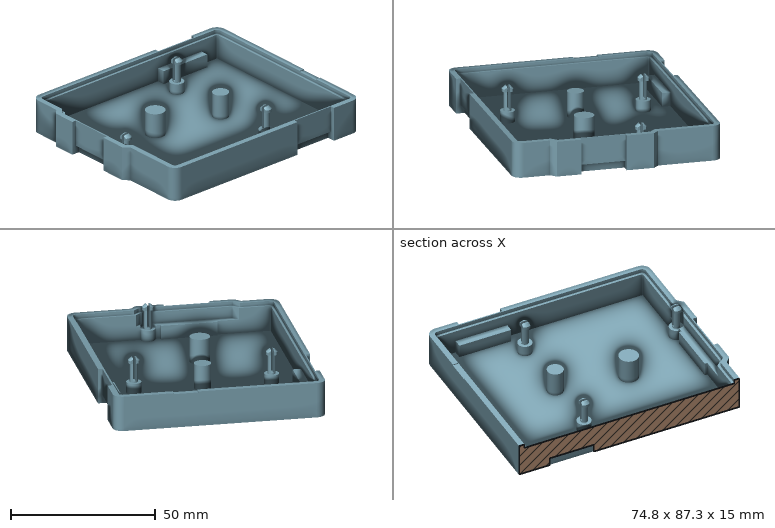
import cadquery as cq
import math

width = 74.8
total_depth = 87.3
tray_height = 12.7
total_height = 15.0
corner_radius = 3.4
floor_thickness = 2.0
rim_width = 2.0
shelf_width = 1.0
shelf_drop = 1.5
wall_thickness = rim_width + shelf_width

bay_projection = 2.0
bay_angle = 45
bay_left = -24.5
bay_right = 14.4

notch_depth = 1.6
undercut_depth = 3.05
undercut_height = 3.0
side_notch_length = 16.7
side_notch_start = 58.6
front_notch_length = 16.3
front_notch_start = -13.8

rib_length = 20.0
rib_thickness = 3.0
rib_top = 7.0
side_rib_start = 57.3
front_rib_start = -15.5

dip_start = 7.9
dip_length = 8.6
dip_depth = 0.35

support_posts = [(0, 56.0, 3.0), (-4.4, 29.8, 3.6)]
support_top = tray_height - shelf_drop

snap_pins = [(-24.2, 56.9), (24.2, 55.6), (8.9, 4.8)]
boss_radius = 2.6
boss_top = 6.0
pin_radius = 1.4
head_radius = 2.0
head_bottom = 13.0
head_chamfer = 1.0
slot_width = 1.0
slot_base = 0.4
slot_bottom = boss_top + slot_base


def box(x, y, z, length, depth, height):
    """Box given by its lowest corner and its sizes."""
    return cq.Workplane("XY").box(length, depth, height, centered=False).translate((x, y, z))


def cylinder(x, y, radius, bottom, top):
    return cq.Workplane("XY", origin=(x, y, bottom)).circle(radius).extrude(top - bottom)


def tray_prism(inset, bottom, top):
    """Prism of the tray outline with every side moved inwards by inset."""
    half_width = width / 2 - inset
    rear = total_depth - inset
    wall_front = bay_projection + inset
    bay_front = inset
    bay_shift = inset * math.tan(math.radians(bay_angle / 2))
    bay_slope = bay_projection / math.tan(math.radians(bay_angle))
    left = bay_left + bay_shift
    right = bay_right - bay_shift
    corners = [(-half_width, rear), (-half_width, wall_front), (half_width, wall_front), (half_width, rear)]
    outline = [
        corners[0],
        corners[1],
        (left, wall_front),
        (left + bay_slope, bay_front),
        (right - bay_slope, bay_front),
        (right, wall_front),
        corners[2],
        corners[3],
    ]
    prism = cq.Workplane("XY").workplane(offset=bottom).polyline(outline).close().extrude(top - bottom)
    middle = (bottom + top) / 2
    for x, y in corners:
        edge = cq.selectors.NearestToPointSelector((x, y, middle))
        prism = prism.edges("|Z").edges(edge).fillet(corner_radius - inset)
    return prism


def make_ribs():
    """Side ribs, front rib and the raised floor filling the bay, all level on top."""
    height = rib_top - floor_thickness
    inner_side = width / 2 - wall_thickness
    inner_front = bay_projection + wall_thickness
    left = box(-inner_side, side_rib_start, floor_thickness, rib_thickness, rib_length, height)
    right = left.mirror("YZ")
    front = box(front_rib_start, wall_thickness, floor_thickness, rib_length, rib_thickness, height)
    bay_zone = box(bay_left, 0, floor_thickness, bay_right - bay_left, inner_front, height)
    bay_floor = tray_prism(wall_thickness, floor_thickness, rib_top).intersect(bay_zone)
    return left.union(right).union(front).union(bay_floor)


def make_latch_notches():
    cuts = []
    for depth, height in [(notch_depth, tray_height), (undercut_depth, undercut_height)]:
        side = box(-width / 2, side_notch_start, 0, depth, side_notch_length, height)
        front = box(front_notch_start, 0, 0, front_notch_length, depth, height)
        cuts += [side, side.mirror("YZ"), front]
    return cuts


def make_snap_pin(x, y):
    """Round shaft with a chamfered head, flattened front and rear and split almost down to its boss."""
    shaft = cylinder(x, y, pin_radius, boss_top, total_height - head_chamfer)
    head = cylinder(x, y, head_radius, head_bottom, total_height).faces(">Z").chamfer(head_chamfer)
    pin_height = total_height - boss_top
    flats = box(x - head_radius, y - pin_radius, boss_top, 2 * head_radius, 2 * pin_radius, pin_height)
    slot = box(x - slot_width / 2, y - head_radius, slot_bottom, slot_width, 2 * head_radius, pin_height)
    return shaft.union(head).intersect(flats).cut(slot)


tray = tray_prism(0, 0, tray_height)
tray = tray.cut(tray_prism(wall_thickness, floor_thickness, tray_height))
tray = tray.cut(tray_prism(rim_width, tray_height - shelf_drop, tray_height))
tray = tray.union(make_ribs())

for notch in make_latch_notches():
    tray = tray.cut(notch)

rim_dip = box(dip_start, total_depth - rim_width, tray_height - dip_depth, dip_length, rim_width, dip_depth)
tray = tray.cut(rim_dip)

for x, y, radius in support_posts:
    tray = tray.union(cylinder(x, y, radius, floor_thickness, support_top))

for x, y in snap_pins:
    tray = tray.cut(cylinder(x, y, boss_radius, boss_top, tray_height))
    tray = tray.union(cylinder(x, y, boss_radius, floor_thickness, boss_top))
    tray = tray.union(make_snap_pin(x, y))

result = tray